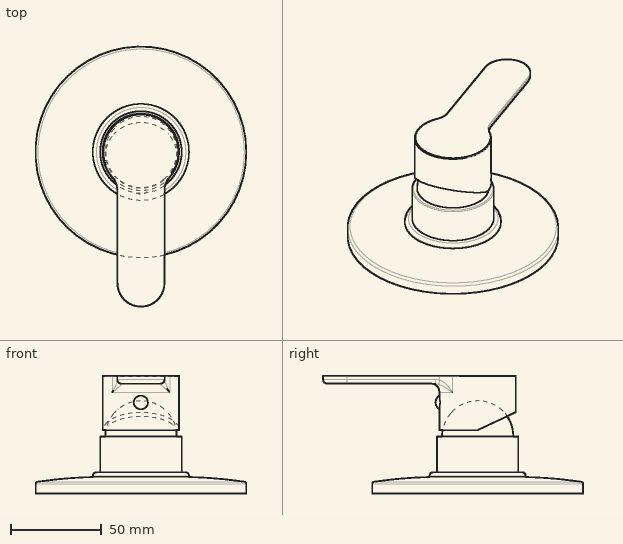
import cadquery as cq
import math

TOTAL_LENGTH = 143.0
TOTAL_HEIGHT = 64.8
COS_45 = math.sqrt(0.5)

PLATE_DIAMETER = 116.0
PLATE_RADIUS = PLATE_DIAMETER / 2
PLATE_RIM_HEIGHT = 5.3
PLATE_EDGE_ROUND = 1.3
CROWN_MID_RADIUS = 41.9
CROWN_MID_HEIGHT = 8.3
CROWN_TOP_HEIGHT = 9.2

BEAD_RADIUS = 26.5
BEAD_TOP = 11.7
BEAD_ROUND = 1.9

SLEEVE_RADIUS = 22.5
SLEEVE_TOP = 31.5
SLEEVE_EDGE_ROUND = 0.6
BALL_RADIUS = 19.7

CAP_RADIUS = 21.0
CAP_BOTTOM = 34.9
CAP_RELIEF_ANGLE = 25.0
HANDLE_TOP_ROUND = 0.5

LEVER_HALF_WIDTH = 13.0
LEVER_THICKNESS = 4.5
LEVER_EDGE_ROUND = 2.6
SIDE_BLEND_RADIUS = 10.7
UNDER_BLEND_RADIUS = 4.6
LEVER_TIP_Y = PLATE_RADIUS - TOTAL_LENGTH
LEVER_BOTTOM = TOTAL_HEIGHT - LEVER_THICKNESS
BLEND_BOTTOM = LEVER_BOTTOM - UNDER_BLEND_RADIUS

BUTTON_SPHERE_RADIUS = 4.3
BUTTON_REACH = 2.1
BUTTON_HEIGHT = 50.0


def revolve_about_z(profile):
    return profile.close().revolve(360, (0, 0, 0), (0, 1, 0))


def outer_quarter_round(profile, radius, start_r, start_z):
    """Continue a profile from a vertical side over a convex quarter round."""
    inset = radius * (1 - COS_45)
    rise = radius * COS_45
    return profile.threePointArc((start_r - inset, start_z + rise), (start_r - radius, start_z + radius))


def make_base():
    """Plate, bead, sleeve and ball dome as one revolved profile."""
    bead_round_start = BEAD_TOP - BEAD_ROUND
    sleeve_round_start = SLEEVE_TOP - SLEEVE_EDGE_ROUND
    ball_mid = BALL_RADIUS * COS_45

    profile = cq.Workplane("XZ").lineTo(PLATE_RADIUS, 0).lineTo(PLATE_RADIUS, PLATE_RIM_HEIGHT)
    profile = outer_quarter_round(profile, PLATE_EDGE_ROUND, PLATE_RADIUS, PLATE_RIM_HEIGHT)
    profile = profile.threePointArc((CROWN_MID_RADIUS, CROWN_MID_HEIGHT), (BEAD_RADIUS, CROWN_TOP_HEIGHT))

    profile = profile.lineTo(BEAD_RADIUS, bead_round_start)
    profile = outer_quarter_round(profile, BEAD_ROUND, BEAD_RADIUS, bead_round_start)

    profile = profile.lineTo(SLEEVE_RADIUS, BEAD_TOP).lineTo(SLEEVE_RADIUS, sleeve_round_start)
    profile = outer_quarter_round(profile, SLEEVE_EDGE_ROUND, SLEEVE_RADIUS, sleeve_round_start)

    profile = profile.lineTo(BALL_RADIUS, SLEEVE_TOP)
    profile = profile.threePointArc((ball_mid, SLEEVE_TOP + ball_mid), (0, SLEEVE_TOP + BALL_RADIUS))
    return revolve_about_z(profile)


def make_cap():
    cap = (
        cq.Workplane("XY", origin=(0, 0, CAP_BOTTOM))
        .circle(CAP_RADIUS)
        .extrude(TOTAL_HEIGHT - CAP_BOTTOM)
    )
    relief_length = 2 * CAP_RADIUS
    relief_rise = relief_length * math.tan(math.radians(CAP_RELIEF_ANGLE))
    relief = (
        cq.Workplane("YZ", origin=(0, 0, CAP_BOTTOM))
        .lineTo(relief_length, 0)
        .lineTo(relief_length, relief_rise)
        .close()
        .extrude(CAP_RADIUS, both=True)
    )
    return cap.cut(relief)


def make_lever_blank():
    """Lever outline, with concave side blends tangent to the cap, at full blend depth."""
    center_distance = CAP_RADIUS + SIDE_BLEND_RADIUS
    center_x = LEVER_HALF_WIDTH + SIDE_BLEND_RADIUS
    center_y = -math.sqrt(center_distance**2 - center_x**2)
    join_x = center_x * CAP_RADIUS / center_distance
    join_y = center_y * CAP_RADIUS / center_distance
    toward_cap = math.atan2(-center_y, -center_x)
    mid_angle = (math.pi + toward_cap) / 2
    mid_x = center_x + SIDE_BLEND_RADIUS * math.cos(mid_angle)
    mid_y = center_y + SIDE_BLEND_RADIUS * math.sin(mid_angle)
    tip_center_y = LEVER_TIP_Y + LEVER_HALF_WIDTH

    return (
        cq.Workplane("XY", origin=(0, 0, BLEND_BOTTOM))
        .moveTo(join_x, join_y)
        .threePointArc((mid_x, mid_y), (LEVER_HALF_WIDTH, center_y))
        .lineTo(LEVER_HALF_WIDTH, tip_center_y)
        .threePointArc((0, LEVER_TIP_Y), (-LEVER_HALF_WIDTH, tip_center_y))
        .lineTo(-LEVER_HALF_WIDTH, center_y)
        .threePointArc((-mid_x, mid_y), (-join_x, join_y))
        .threePointArc((0, -CAP_RADIUS), (join_x, join_y))
        .close()
        .extrude(TOTAL_HEIGHT - BLEND_BOTTOM)
    )


def make_under_lever_space():
    """Space below the lever, leaving a concave quarter round against the cap."""
    center_r = CAP_RADIUS + UNDER_BLEND_RADIUS
    arc_offset = UNDER_BLEND_RADIUS * COS_45
    profile = (
        cq.Workplane("XZ")
        .moveTo(CAP_RADIUS, BLEND_BOTTOM)
        .threePointArc((center_r - arc_offset, BLEND_BOTTOM + arc_offset), (center_r, LEVER_BOTTOM))
        .lineTo(TOTAL_LENGTH, LEVER_BOTTOM)
        .lineTo(TOTAL_LENGTH, 0)
        .lineTo(CAP_RADIUS, 0)
    )
    return revolve_about_z(profile)


def make_lever():
    lever = make_lever_blank().cut(make_under_lever_space())
    return lever.faces("-Z").edges("<Y").fillet(LEVER_EDGE_ROUND)


def make_button():
    center_y = -(CAP_RADIUS + BUTTON_REACH - BUTTON_SPHERE_RADIUS)
    return cq.Workplane("XY", origin=(0, center_y, BUTTON_HEIGHT)).sphere(BUTTON_SPHERE_RADIUS)


def make_handle():
    """Cap, lever and button, with a socket in the cap that fits the ball dome."""
    handle = make_cap().union(make_lever())
    handle = handle.faces(">Z").edges().fillet(HANDLE_TOP_ROUND)
    socket_ball = cq.Workplane("XY", origin=(0, 0, SLEEVE_TOP)).sphere(BALL_RADIUS)
    return handle.union(make_button()).cut(socket_ball)


base = make_base()
handle = make_handle()
result = cq.Compound.makeCompound([base.val(), *handle.solids().vals()])